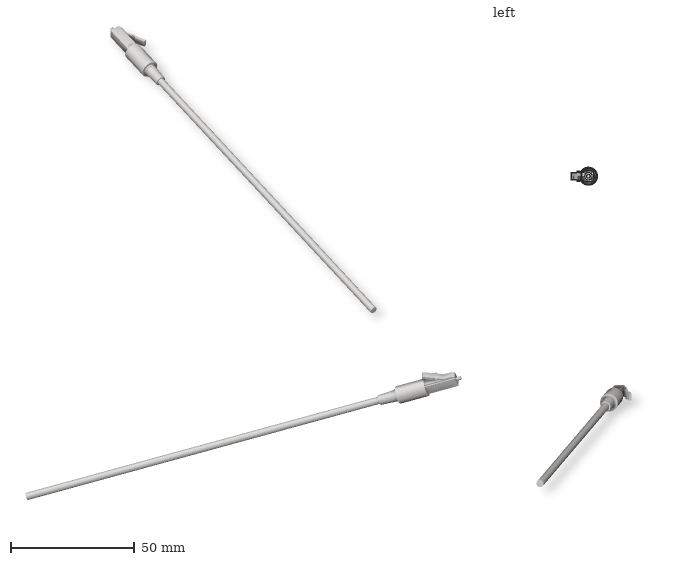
import cadquery as cq
import math

TOTAL_LENGTH = 187.5

FERRULE_RADIUS = 0.7
BORE_RADIUS = 1.5
BORE_DEPTH = 1.9
HOUSING_START = 1.9
HOUSING_WIDTH = 4.1
RAIL_TOP = 2.6
RAIL_WIDTH = 3.0

LATCH_BASE_START = 2.8
LATCH_BASE_TOP = 3.0
LATCH_HINGE_X = 6.4
LATCH_TIP_X = 14.0
LATCH_TIP_Y = 7.03
LATCH_THICKNESS = 0.7
GRIP_START_X = 10.1
GRIP_THICKNESS = 1.1
LATCH_WIDTH = 3.0
EAR_X = 8.8
EAR_LENGTH = 0.7
EAR_WIDTH = 4.1

BARREL_START = 14.8
BARREL_END = 27.2
BARREL_RADIUS = 3.65
MOUTH_RADIUS = 3.2
MOUTH_FLOOR_RADIUS = 2.5
MOUTH_DEPTH = 0.7
COLLAR_LENGTH = 0.7
COLLAR_RADIUS = 2.6
SLEEVE_START_RADIUS = 2.5
SLEEVE_END_RADIUS = 2.0
SLEEVE_END = 35.0

HOUSING_END = BARREL_START + MOUTH_DEPTH

CABLE_RADIUS = 1.5


def box_between(x_start, x_end, y_low, y_high, width):
    """Box between two X and two Y places, centred on Z."""
    size = (x_end - x_start, y_high - y_low, width)
    centre = ((x_start + x_end) / 2, (y_low + y_high) / 2, 0)
    return cq.Workplane("XY").box(*size).translate(centre)


def make_latch():
    """Flat base with a sloping arm, thicker at its grip, and two side ears."""
    slope = math.atan2(LATCH_TIP_Y - LATCH_BASE_TOP, LATCH_TIP_X - LATCH_HINGE_X)
    base_end = LATCH_HINGE_X + LATCH_THICKNESS
    base = box_between(LATCH_BASE_START, base_end, RAIL_TOP, LATCH_BASE_TOP, LATCH_WIDTH)

    def sloping_bar(x_start, x_end, width, thickness):
        drop_x = thickness * math.sin(slope)
        drop_y = thickness * math.cos(slope)
        y_start = LATCH_BASE_TOP + (x_start - LATCH_HINGE_X) * math.tan(slope)
        y_end = LATCH_BASE_TOP + (x_end - LATCH_HINGE_X) * math.tan(slope)
        return (
            cq.Workplane("XY")
            .polyline([
                (x_start, y_start),
                (x_end, y_end),
                (x_end + drop_x, y_end - drop_y),
                (x_start + drop_x, y_start - drop_y),
            ])
            .close()
            .extrude(width / 2, both=True)
        )

    arm = sloping_bar(LATCH_HINGE_X, LATCH_TIP_X, LATCH_WIDTH, LATCH_THICKNESS)
    grip = sloping_bar(GRIP_START_X, LATCH_TIP_X, LATCH_WIDTH, GRIP_THICKNESS)
    ears = sloping_bar(EAR_X, EAR_X + EAR_LENGTH, EAR_WIDTH, LATCH_THICKNESS)
    return base.union(arm).union(grip).union(ears)


def make_connector():
    """Bored housing with its rail, the ferrule in the bore, and the latch."""
    half_width = HOUSING_WIDTH / 2
    housing = box_between(HOUSING_START, HOUSING_END, -half_width, half_width, HOUSING_WIDTH)
    rail = box_between(HOUSING_START, HOUSING_END, half_width, RAIL_TOP, RAIL_WIDTH)
    ferrule = cq.Workplane("YZ").circle(FERRULE_RADIUS).extrude(HOUSING_END)
    bore = (
        cq.Workplane("YZ", origin=(HOUSING_START, 0, 0))
        .circle(BORE_RADIUS)
        .extrude(BORE_DEPTH)
    )
    return housing.union(rail).cut(bore).union(ferrule).union(make_latch())


def make_boot(connector):
    """Barrel with a conical mouth fitted round the connector, collar and sleeve bored for the cable."""
    collar_end = BARREL_END + COLLAR_LENGTH
    return (
        cq.Workplane("XY")
        .polyline([
            (HOUSING_END, CABLE_RADIUS),
            (HOUSING_END, MOUTH_FLOOR_RADIUS),
            (BARREL_START, MOUTH_RADIUS),
            (BARREL_START, BARREL_RADIUS),
            (BARREL_END, BARREL_RADIUS),
            (BARREL_END, COLLAR_RADIUS),
            (collar_end, COLLAR_RADIUS),
            (collar_end, SLEEVE_START_RADIUS),
            (SLEEVE_END, SLEEVE_END_RADIUS),
            (SLEEVE_END, CABLE_RADIUS),
        ])
        .close()
        .revolve(360, (0, 0, 0), (1, 0, 0))
        .cut(connector)
    )


def make_cable():
    """Round cable running from the back of the housing."""
    return (
        cq.Workplane("YZ", origin=(HOUSING_END, 0, 0))
        .circle(CABLE_RADIUS)
        .extrude(TOTAL_LENGTH - HOUSING_END)
    )


connector = make_connector()
boot = make_boot(connector)
cable = make_cable()

result = cq.Compound.makeCompound([connector.val(), boot.val(), cable.val()])